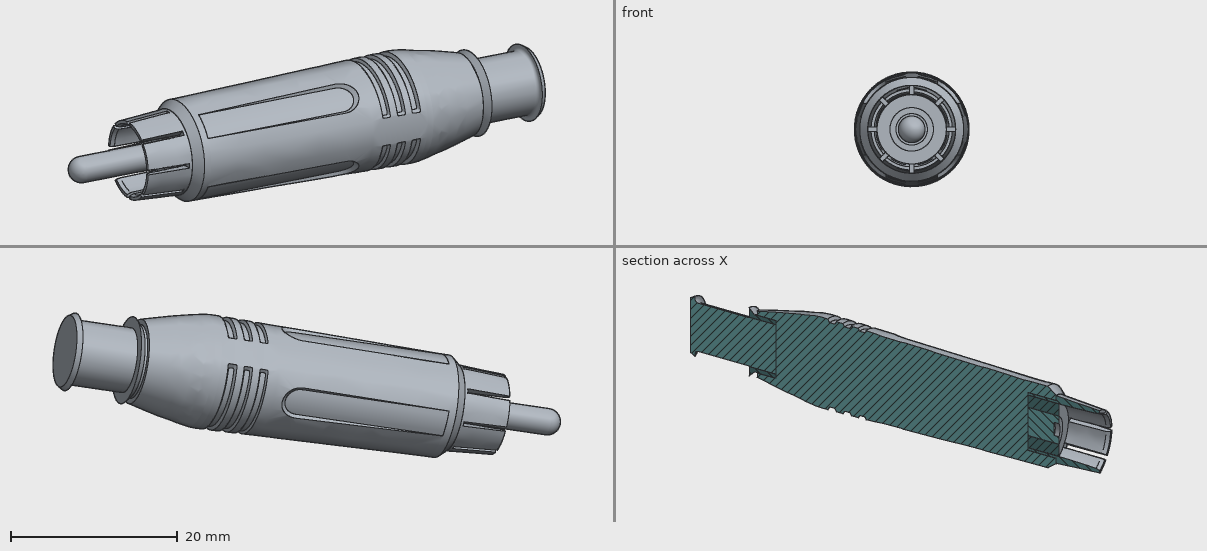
import cadquery as cq
import math


PIN_TIP_Y = -31.5
SHELL_MOUTH_Y = -23.45
SLOT_END_Y = -17.95
HOUSING_FRONT_Y = -17.6
HOUSING_SHOULDER_Y = -16.45
TAPER_FRONT_Y = -15.5
GRIP_END_Y = 4.8
TAPER_REAR_Y = 13.9
OGIVE_FRONT_Y = 14.75
HOUSING_REAR_Y = 22.55
COLLAR_CONE_Y = 22.9
COLLAR_REAR_Y = 23.6
TAIL_RIM_Y = 30.9
TAIL_END_Y = 31.5

NOSE_DIAMETER = 12.5
NOSE_FACE_DIAMETER = 10.6
WAIST_DIAMETER = 13.8
OGIVE_FRONT_DIAMETER = 13.7
OGIVE_REAR_DIAMETER = 10.3
OGIVE_BULGE = 0.095
FRONT_SOCKET_DEPTH = 3.8
REAR_SOCKET_DEPTH = 2.5

GRIP_COUNT = 4
GRIP_WIDTH = 3.2
GRIP_FLOOR_DIAMETER = 12.4
GRIP_WALL_ANGLE = 45.0
GRIP_TOOL_HEIGHT = 1.9

GROOVE_FIRST_Y = 8.45
GROOVE_PITCH = 2.0
GROOVE_COUNT = 3
GROOVE_WIDTH = 0.7
GROOVE_FLOOR_DIAMETER = 12.85
GROOVE_WALL_SLOPE = 0.5
GROOVE_HALF_GAP = 1.6
GROOVE_CORNER_RADIUS = 0.25

SHELL_MOUTH_DIAMETER = 9.75
SHELL_REAR_DIAMETER = 10.5
SHELL_SPIGOT_DIAMETER = 9.0
SHELL_MOUTH_BORE = 9.0
SHELL_THROAT_BORE = 8.6
SHELL_BASE_BORE = 8.3
MOUTH_CHAMFER_LENGTH = 0.5
SLOT_COUNT = 8
SLOT_WIDTH = 0.55

SLEEVE_DIAMETER = 5.2
SLEEVE_MOUTH_BORE = 3.8
SLEEVE_MOUTH_DEPTH = 0.6
PIN_DIAMETER = 3.2

COLLAR_DIAMETER = 10.6
COLLAR_SPIGOT_DIAMETER = 9.0
TAIL_DIAMETER = 7.9
TAIL_RIM_DIAMETER = 9.45
TAIL_END_DIAMETER = 8.7
TAIL_FILLET = 0.45

SEAT_FRONT_Y = HOUSING_FRONT_Y + FRONT_SOCKET_DEPTH
SEAT_REAR_Y = HOUSING_REAR_Y - REAR_SOCKET_DEPTH


def turned(profile):
    """Revolve a closed half profile, drawn as (radius, y), about the Y axis."""
    return profile.close().revolve(360, (0, 0, 0), (0, 1, 0))


def rod(diameter, y_start, y_end):
    """Solid cylinder on the axis between two stations."""
    return turned(
        cq.Workplane("XY")
        .moveTo(0, y_start)
        .lineTo(diameter / 2, y_start)
        .lineTo(diameter / 2, y_end)
        .lineTo(0, y_end)
    )


def grip_cutter():
    """Slot-shaped cutter with flared walls and a rounded rear end, above the floor cylinder."""
    half_width = GRIP_WIDTH / 2
    floor_radius = GRIP_FLOOR_DIAMETER / 2
    edge_height = math.sqrt(floor_radius**2 - half_width**2)
    cap_center_y = GRIP_END_Y - half_width
    outline = (
        cq.Workplane("XY", origin=(0, 0, edge_height))
        .moveTo(-half_width, TAPER_FRONT_Y)
        .lineTo(half_width, TAPER_FRONT_Y)
        .lineTo(half_width, cap_center_y)
        .threePointArc((0, GRIP_END_Y), (-half_width, cap_center_y))
        .close()
    )
    tool = outline.extrude(GRIP_TOOL_HEIGHT, taper=-GRIP_WALL_ANGLE)
    floor = rod(GRIP_FLOOR_DIAMETER, HOUSING_FRONT_Y, TAPER_REAR_Y)
    nose = rod(WAIST_DIAMETER, HOUSING_FRONT_Y, TAPER_FRONT_Y)
    return tool.cut(floor).cut(nose)


def groove_cutter(center_y):
    """Ring groove with sloped walls, split into top and bottom parts with rounded corners."""
    floor_radius = GROOVE_FLOOR_DIAMETER / 2
    outer_radius = WAIST_DIAMETER / 2
    flare = (outer_radius - floor_radius) * GROOVE_WALL_SLOPE
    half_floor = GROOVE_WIDTH / 2
    half_mouth = half_floor + flare
    ring = turned(
        cq.Workplane("XY")
        .moveTo(floor_radius, center_y - half_floor)
        .lineTo(outer_radius, center_y - half_mouth)
        .lineTo(outer_radius, center_y + half_mouth)
        .lineTo(floor_radius, center_y + half_floor)
    )
    bridge_height = GROOVE_HALF_GAP + outer_radius * GROOVE_WALL_SLOPE
    bridge_reach = bridge_height / GROOVE_WALL_SLOPE
    bridge = (
        cq.Workplane("XZ", origin=(0, center_y + half_mouth, 0))
        .polyline([
            (0, bridge_height),
            (bridge_reach, 0),
            (0, -bridge_height),
            (-bridge_reach, 0),
        ])
        .close()
        .extrude(2 * half_mouth)
    )
    groove = ring.cut(bridge)
    return groove.edges("(not %LINE) and (not %CIRCLE)").fillet(GROOVE_CORNER_RADIUS)


def make_housing():
    ogive_mid_radius = (OGIVE_FRONT_DIAMETER + OGIVE_REAR_DIAMETER) / 4 + OGIVE_BULGE
    ogive_mid_y = (OGIVE_FRONT_Y + HOUSING_REAR_Y) / 2
    body = turned(
        cq.Workplane("XY")
        .moveTo(0, HOUSING_FRONT_Y)
        .lineTo(NOSE_FACE_DIAMETER / 2, HOUSING_FRONT_Y)
        .lineTo(NOSE_DIAMETER / 2, HOUSING_SHOULDER_Y)
        .lineTo(NOSE_DIAMETER / 2, TAPER_FRONT_Y)
        .lineTo(WAIST_DIAMETER / 2, TAPER_REAR_Y)
        .lineTo(OGIVE_FRONT_DIAMETER / 2, OGIVE_FRONT_Y)
        .threePointArc(
            (ogive_mid_radius, ogive_mid_y), (OGIVE_REAR_DIAMETER / 2, HOUSING_REAR_Y)
        )
        .lineTo(0, HOUSING_REAR_Y)
    )
    body = body.cut(rod(SHELL_SPIGOT_DIAMETER, HOUSING_FRONT_Y, SEAT_FRONT_Y))
    body = body.cut(rod(COLLAR_SPIGOT_DIAMETER, SEAT_REAR_Y, HOUSING_REAR_Y))

    cutter = grip_cutter()
    for i in range(GRIP_COUNT):
        angle = (i + 0.5) * 360 / GRIP_COUNT
        body = body.cut(cutter.rotate((0, 0, 0), (0, 1, 0), angle))

    for i in range(GROOVE_COUNT):
        body = body.cut(groove_cutter(GROOVE_FIRST_Y + i * GROOVE_PITCH))
    return body


def make_shell():
    throat_y = SHELL_MOUTH_Y + MOUTH_CHAMFER_LENGTH
    shell = turned(
        cq.Workplane("XY")
        .moveTo(SHELL_MOUTH_BORE / 2, SHELL_MOUTH_Y)
        .lineTo(SHELL_MOUTH_DIAMETER / 2, SHELL_MOUTH_Y)
        .lineTo(SHELL_REAR_DIAMETER / 2, HOUSING_FRONT_Y)
        .lineTo(SHELL_SPIGOT_DIAMETER / 2, HOUSING_FRONT_Y)
        .lineTo(SHELL_SPIGOT_DIAMETER / 2, SEAT_FRONT_Y)
        .lineTo(SHELL_BASE_BORE / 2, SEAT_FRONT_Y)
        .lineTo(SHELL_BASE_BORE / 2, SLOT_END_Y)
        .lineTo(SHELL_THROAT_BORE / 2, throat_y)
    )
    slot_bar = cq.Workplane("XY").box(
        2 * SHELL_REAR_DIAMETER, SLOT_END_Y - SHELL_MOUTH_Y, SLOT_WIDTH
    ).translate((0, (SLOT_END_Y + SHELL_MOUTH_Y) / 2, 0))
    for i in range(SLOT_COUNT // 2):
        shell = shell.cut(slot_bar.rotate((0, 0, 0), (0, 1, 0), i * 360 / SLOT_COUNT))
    return shell


def make_insulator():
    disc = rod(SHELL_BASE_BORE, SLOT_END_Y, SEAT_FRONT_Y)
    return disc.cut(rod(SLEEVE_DIAMETER, SLOT_END_Y, SEAT_FRONT_Y))


def make_sleeve():
    sleeve = rod(SLEEVE_DIAMETER, SLOT_END_Y, SEAT_FRONT_Y)
    sleeve = sleeve.cut(rod(PIN_DIAMETER, SLOT_END_Y, SEAT_FRONT_Y))
    return sleeve.cut(rod(SLEEVE_MOUTH_BORE, SLOT_END_Y, SLOT_END_Y + SLEEVE_MOUTH_DEPTH))


def make_pin():
    radius = PIN_DIAMETER / 2
    dome_y = PIN_TIP_Y + radius
    dome_mid = radius * math.sqrt(0.5)
    return turned(
        cq.Workplane("XY")
        .moveTo(0, PIN_TIP_Y)
        .threePointArc((dome_mid, dome_y - dome_mid), (radius, dome_y))
        .lineTo(radius, SEAT_FRONT_Y)
        .lineTo(0, SEAT_FRONT_Y)
    )


def make_collar():
    return turned(
        cq.Workplane("XY")
        .moveTo(TAIL_DIAMETER / 2, SEAT_REAR_Y)
        .lineTo(COLLAR_SPIGOT_DIAMETER / 2, SEAT_REAR_Y)
        .lineTo(COLLAR_SPIGOT_DIAMETER / 2, COLLAR_CONE_Y)
        .lineTo(COLLAR_DIAMETER / 2, COLLAR_REAR_Y)
        .lineTo(TAIL_DIAMETER / 2, COLLAR_REAR_Y)
    )


def make_tail():
    neck_radius = TAIL_DIAMETER / 2
    fillet_center_r = neck_radius + TAIL_FILLET
    fillet_center_y = TAIL_RIM_Y - TAIL_FILLET
    fillet_mid = TAIL_FILLET * math.sqrt(0.5)
    return turned(
        cq.Workplane("XY")
        .moveTo(0, SEAT_REAR_Y)
        .lineTo(neck_radius, SEAT_REAR_Y)
        .lineTo(neck_radius, fillet_center_y)
        .threePointArc(
            (fillet_center_r - fillet_mid, fillet_center_y + fillet_mid),
            (fillet_center_r, TAIL_RIM_Y),
        )
        .lineTo(TAIL_RIM_DIAMETER / 2, TAIL_RIM_Y)
        .lineTo(TAIL_END_DIAMETER / 2, TAIL_END_Y)
        .lineTo(0, TAIL_END_Y)
    )


housing = make_housing()
shell = make_shell()
insulator = make_insulator()
sleeve = make_sleeve()
pin = make_pin()
collar = make_collar()
tail = make_tail()

result = cq.Compound.makeCompound([
    housing.val(),
    shell.val(),
    insulator.val(),
    sleeve.val(),
    pin.val(),
    collar.val(),
    tail.val(),
])